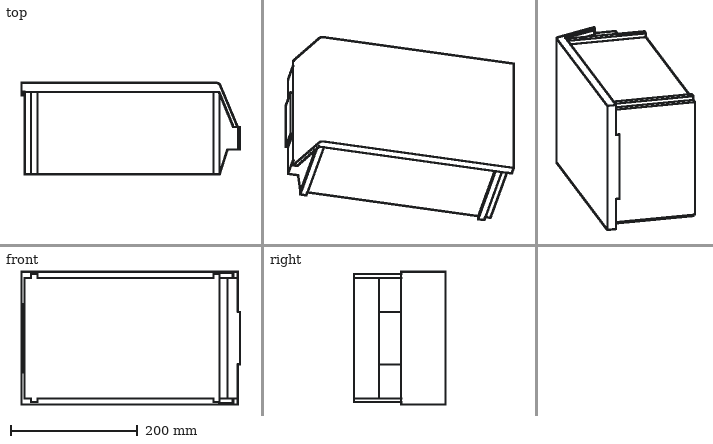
import cadquery as cq

length = 346.0
depth = 145.0
width = 210.0

rim_thickness = 14.5
arm_end_x = 342.2
arm_end_y = -70.2
arm_root_x = 312.0
arm_foot_x = 335.0
rim_front_x = 312.8
rim_corner_radius = 7.0

body_half_width = 95.0
body_back_x = 5.2
body_front_x = 313.5
lip_bottom_y = -105.5
lip_root_x = 326.0

rib_width = 10.0
rib_height = 6.2
back_rib_x = 15.2
front_rib_x = body_front_x - rib_width

arm_lip = 2.0
recess_depth = 1.0

back_tab_thickness = 2.5
back_tab_bottom_y = -20.0
back_tab_width = 108.3
front_tab_width = 83.0


def box_between(x_range, y_range, z_range):
    """Box spanning the given (low, high) range on each axis."""
    sizes = [high - low for low, high in (x_range, y_range, z_range)]
    corner = (x_range[0], y_range[0], z_range[0])
    return cq.Workplane("XY").box(*sizes, centered=False).translate(corner)


def centred_prism(points, prism_width):
    """Closed XY outline extruded equally to both sides of the mid-plane."""
    return cq.Workplane("XY").polyline(points).close().extrude(prism_width / 2, both=True)


def make_rim():
    """Rim slab whose front end bends down into the sloping arms."""
    outline = [
        (0, 0),
        (rim_front_x, 0),
        (arm_end_x, arm_end_y),
        (arm_foot_x, arm_end_y),
        (arm_root_x, -rim_thickness),
        (0, -rim_thickness),
    ]
    rim = centred_prism(outline, width)
    bend = cq.selectors.NearestToPointSelector((rim_front_x, 0, 0))
    return rim.edges("|Z").edges(bend).fillet(rim_corner_radius)


def make_arm_recess():
    """Cutter sunk into the sloping arm faces, leaving a lip at the sides and the end."""
    slope = (arm_foot_x - arm_root_x) / (arm_end_y + rim_thickness)
    recess_end_y = arm_end_y + arm_lip
    recess_end_x = arm_foot_x + slope * arm_lip
    outline = [
        (arm_root_x, -rim_thickness),
        (arm_root_x + recess_depth, -rim_thickness),
        (recess_end_x + recess_depth, recess_end_y),
        (recess_end_x, recess_end_y),
    ]
    return centred_prism(outline, width - 2 * arm_lip)


def make_body():
    """Plain body with the front lip; it fills the space between the arms."""
    outline = [
        (body_back_x, -rim_thickness),
        (body_back_x, -depth),
        (body_front_x, -depth),
        (lip_root_x, lip_bottom_y),
        (arm_end_x, lip_bottom_y),
        (arm_end_x, arm_end_y),
        (body_front_x, -rim_thickness),
    ]
    return centred_prism(outline, 2 * body_half_width)


def make_rib_pair(x_start):
    """Full-depth rib on both side walls, joined through the body."""
    half = body_half_width + rib_height
    return box_between((x_start, x_start + rib_width), (-depth, -rim_thickness), (-half, half))


def make_back_tab():
    """Thin tab hanging below the back edge of the rim."""
    half = back_tab_width / 2
    return box_between((0, back_tab_thickness), (back_tab_bottom_y, 0), (-half, half))


def make_front_tab():
    """Grip pad standing out from the front lip."""
    half = front_tab_width / 2
    return box_between((arm_end_x, length), (lip_bottom_y, arm_end_y), (-half, half))


result = make_rim().cut(make_arm_recess()).union(make_body())
for rib_x in (back_rib_x, front_rib_x):
    result = result.union(make_rib_pair(rib_x))
result = result.union(make_back_tab()).union(make_front_tab())